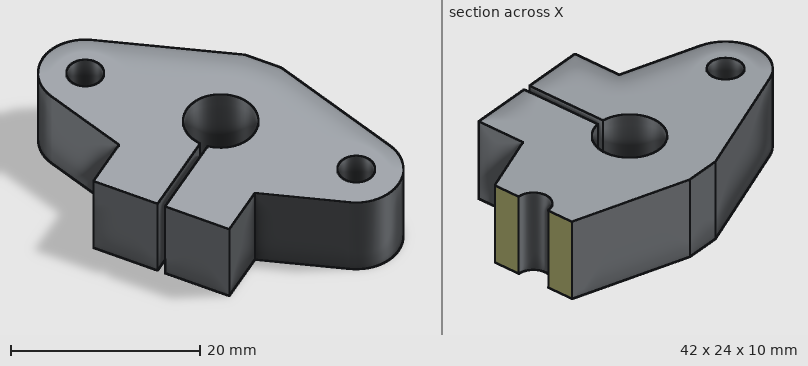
import cadquery as cq
import math

length = 42.0
depth = 24.0
thickness = 10.0
top_y = 10.0
bottom_y = top_y - depth
top_flat_width = 4.3

ear_radius = 5.0
ear_x = length / 2 - ear_radius
mount_hole_diameter = 4.0

clamp_width = 16.05
shoulder_y = -7.98
bore_diameter = 7.98
slot_width = 0.9


def ear_tangent_point(corner_x, corner_y):
    """Point where a line from the corner touches the right ear on its outer side."""
    dx = corner_x - ear_x
    dy = corner_y
    side = math.copysign(1, dy)
    opening = math.acos(ear_radius / math.hypot(dx, dy))
    angle = math.atan2(dy, dx) - side * opening
    return (ear_x + ear_radius * math.cos(angle), ear_radius * math.sin(angle))


def mirrored(point):
    return (-point[0], point[1])


def make_body():
    top_corner = (top_flat_width / 2, top_y)
    shoulder = (clamp_width / 2, shoulder_y)
    foot = (clamp_width / 2, bottom_y)
    upper_tangent = ear_tangent_point(*top_corner)
    lower_tangent = ear_tangent_point(*shoulder)
    ear_tip = (length / 2, 0)
    return (
        cq.Workplane("XY")
        .moveTo(*mirrored(top_corner))
        .lineTo(*top_corner)
        .lineTo(*upper_tangent)
        .threePointArc(ear_tip, lower_tangent)
        .lineTo(*shoulder)
        .lineTo(*foot)
        .lineTo(*mirrored(foot))
        .lineTo(*mirrored(shoulder))
        .lineTo(*mirrored(lower_tangent))
        .threePointArc(mirrored(ear_tip), mirrored(upper_tangent))
        .close()
        .extrude(thickness)
    )


def make_holes():
    bore = cq.Workplane("XY").circle(bore_diameter / 2).extrude(thickness)
    mount_holes = (
        cq.Workplane("XY")
        .pushPoints([(-ear_x, 0), (ear_x, 0)])
        .circle(mount_hole_diameter / 2)
        .extrude(thickness)
    )
    return bore.union(mount_holes)


def make_clamp_slot():
    return (
        cq.Workplane("XY")
        .center(0, bottom_y / 2)
        .rect(slot_width, -bottom_y)
        .extrude(thickness)
    )


result = make_body().cut(make_holes()).cut(make_clamp_slot())